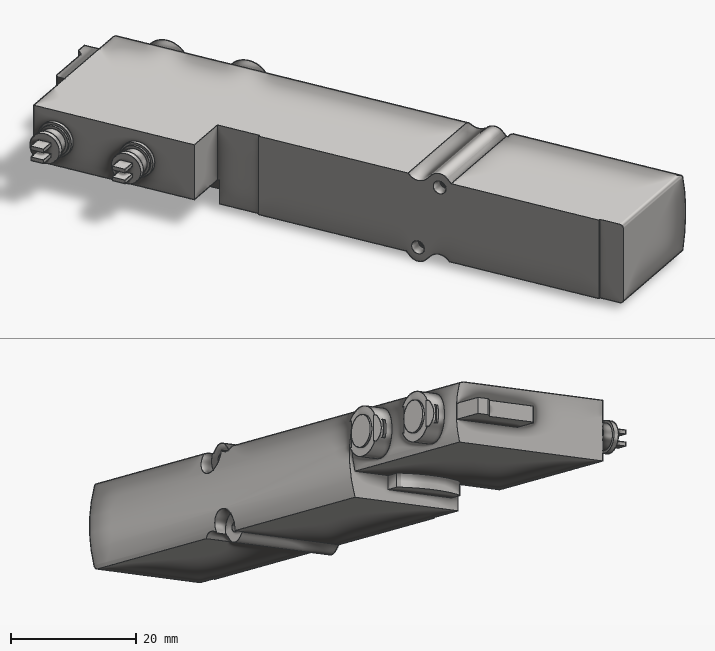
import cadquery as cq
import math


valve_left = 35.4
right_end = 108.5
height = 14.1
valve_front = 7.5
back_edge = 27.8
valve_back_bulge = 1.1
end_step = 0.3
front_plate_end = 42.6
end_cap_start = 104.3
end_rounding = 0.7
bevel_width = 0.8
bevel_drop = 0.2

upper_boss_x = 75.4
lower_boss_x = 71.5
boss_rise = 1.3
boss_radius = 2.0
groove_radius = 2.22
screw_hole_diameter = 2.3
screw_tip_diameter = 1.6
screw_tip_length = 2.2
screw_hole_inset = 1.2
screw_head_diameter = 5.3
screw_head_seat = 26.1

manifold_left = 6.0
manifold_bottom = 4.2
manifold_step_right = 35.0
manifold_back_bulge = 0.7
port_axis_z = (height + manifold_bottom) / 2
port_pitch = 14.8
first_connector_x = 10.1
first_button_x = 13.3

tab_thickness = 2.6
tab_root = 1.0
tab_front = 16.6
tab_back = 28.3
tab_nose_width = 2.0
tab_front_bevel = 0.4

latch_bottom = 2.0
latch_front = 9.1
latch_back = 21.4
latch_corner_x = 33.0
latch_face_x = 32.5
latch_nose_x = 31.4
latch_bevel = 0.7

connector_sections = [(6.1, -0.7), (5.3, -1.1), (4.5, -3.1), (5.3, -4.0)]
blade_width = 2.3
blade_thickness = 0.7
blade_offset = 1.0
blade_tip = -6.5

button_diameter = 8.1
button_shoulder = 31.4
button_cap_diameter = 5.3
button_top = 31.7
button_base = 26.0
scoop_width = 4.2
scoop_low = 30.5
scoop_reach = 1.3
grip_width = 2.9
grip_height = 0.5
grip_depth = 0.5
grip_y = 29.8


def box(x, y, z):
    """Box from three (low, high) ranges."""
    size = [high - low for low, high in (x, y, z)]
    return cq.Workplane("XY").box(*size, centered=False).translate((x[0], y[0], z[0]))


def cylinder_y(diameter, x, z, y_low, y_high):
    """Cylinder along Y."""
    plane = cq.Plane(origin=(x, y_high, z), xDir=(1, 0, 0), normal=(0, -1, 0))
    return cq.Workplane(plane).circle(diameter / 2).extrude(y_high - y_low)


def bowed_block(x_low, x_high, z_low, z_high, front, bulge):
    """Block along X whose back face is a shallow arc and whose top back edge has a flat bevel."""
    middle = (z_low + z_high) / 2
    return (
        cq.Workplane("YZ", origin=(x_low, 0, 0))
        .moveTo(front, z_low)
        .lineTo(back_edge, z_low)
        .threePointArc((back_edge + bulge, middle), (back_edge, z_high - bevel_drop))
        .lineTo(back_edge - bevel_width, z_high)
        .lineTo(front, z_high)
        .close()
        .extrude(x_high - x_low)
    )


def rounded_ridge(x, radius, reach, base_z, direction, y_range):
    """Prism along Y with 45 degree flanks and a round crest, standing off base_z up (+1) or down (-1)."""
    crest_half = radius * math.sqrt(0.5)
    flank = reach - (radius - crest_half)
    foot_half = crest_half + flank
    flank_z = base_z + direction * flank
    return (
        cq.Workplane("XZ", origin=(0, y_range[1], 0))
        .moveTo(x - foot_half, base_z)
        .lineTo(x - crest_half, flank_z)
        .threePointArc((x, base_z + direction * reach), (x + crest_half, flank_z))
        .lineTo(x + foot_half, base_z)
        .close()
        .extrude(y_range[1] - y_range[0])
    )


def make_valve():
    """Long bowed block with end steps and a rounded right end."""
    valve = bowed_block(valve_left, right_end, 0, height, valve_front, valve_back_bulge)
    valve = valve.faces(">X").edges("|Y").fillet(end_rounding)
    for x_range in ((valve_left, front_plate_end), (end_cap_start, right_end)):
        valve = valve.cut(box(x_range, (valve_front, valve_front + end_step), (0, height)))
    return valve


def add_screw_bosses(body):
    """A screw boss with a groove beside it on the top, and the same turned half round underneath."""
    spread = math.sqrt(2) - 1
    boss_pitch = upper_boss_x - lower_boss_x
    groove_depth = boss_pitch - boss_rise - (boss_radius + groove_radius) * spread

    boss_span = (valve_front, screw_head_seat)
    back_limit = back_edge + valve_back_bulge
    groove_span = (valve_front, back_limit)
    sides = ((upper_boss_x, lower_boss_x, height, 1), (lower_boss_x, upper_boss_x, 0, -1))
    for boss_x, groove_x, face_z, outward in sides:
        body = body.union(rounded_ridge(boss_x, boss_radius, boss_rise, face_z, outward, boss_span))
        body = body.cut(rounded_ridge(groove_x, groove_radius, groove_depth, face_z, -outward, groove_span))
        hole_z = face_z - outward * screw_hole_inset
        tip_end = valve_front + screw_tip_length
        body = body.cut(cylinder_y(screw_tip_diameter, boss_x, hole_z, tip_end, back_limit))
        body = body.cut(cylinder_y(screw_hole_diameter, boss_x, hole_z, valve_front, tip_end))
        body = body.cut(cylinder_y(screw_head_diameter, boss_x, hole_z, screw_head_seat, back_limit))
    return body


def make_manifold():
    """Bowed block, cut back at its right end to the valve's front face."""
    block = bowed_block(manifold_left, valve_left, manifold_bottom, height, 0, manifold_back_bulge)
    step = box((manifold_step_right, valve_left), (0, valve_front + end_step), (manifold_bottom, height))
    return block.cut(step)


def make_side_tab():
    """Flat tab with a hooked nose at its back end."""
    nose_front = tab_back - tab_nose_width
    return (
        cq.Workplane("XY", origin=(0, 0, port_axis_z - tab_thickness / 2))
        .moveTo(manifold_left, tab_front)
        .lineTo(tab_root + tab_front_bevel, tab_front)
        .lineTo(tab_root, tab_front + tab_front_bevel)
        .lineTo(tab_root, nose_front - tab_root)
        .lineTo(0, nose_front)
        .lineTo(0, tab_back)
        .lineTo(manifold_left, tab_back)
        .close()
        .extrude(tab_thickness)
    )


def make_latch():
    """Low block on the valve's left end with bevelled corners and a bowed face."""
    return (
        cq.Workplane("XY", origin=(0, 0, latch_bottom))
        .moveTo(valve_left, latch_front)
        .lineTo(latch_corner_x, latch_front)
        .lineTo(latch_face_x, latch_front + latch_bevel)
        .threePointArc(
            (latch_nose_x, (latch_front + latch_back) / 2),
            (latch_face_x, latch_back - latch_bevel),
        )
        .lineTo(latch_corner_x, latch_back)
        .lineTo(valve_left, latch_back)
        .close()
        .extrude(manifold_bottom - latch_bottom)
    )


def make_connector(x):
    """Stepped round connector with two flat blades."""
    connector = cq.Workplane("XY")
    section_start = 0
    for diameter, section_end in connector_sections:
        connector = connector.add(cylinder_y(diameter, x, port_axis_z, section_end, section_start))
        section_start = section_end
    for side in (-1, 1):
        blade_z = port_axis_z + side * blade_offset
        blade = box(
            (x - blade_width / 2, x + blade_width / 2),
            (blade_tip, section_start),
            (blade_z - blade_thickness / 2, blade_z + blade_thickness / 2),
        )
        connector = connector.add(blade)
    return connector.combine()


def make_button(x):
    """Round push button with a raised cap, and a scoop and a finger notch at its left and right."""
    radius = button_diameter / 2
    button = cylinder_y(button_diameter, x, port_axis_z, button_base, button_shoulder)
    button = button.union(cylinder_y(button_cap_diameter, x, port_axis_z, button_shoulder, button_top))
    for side in (-1, 1):
        rim = x + side * radius
        scoop = (
            cq.Workplane("XY", origin=(0, 0, port_axis_z - scoop_width / 2))
            .moveTo(rim, scoop_low)
            .lineTo(rim, button_top)
            .lineTo(rim - side * scoop_reach, button_top)
            .close()
            .extrude(scoop_width)
        )
        notch = cq.Workplane("XY").box(2 * grip_depth, grip_height, grip_width)
        button = button.cut(scoop).cut(notch.translate((rim, grip_y, port_axis_z)))
    return button


result = make_valve().union(make_manifold())
result = add_screw_bosses(result)
result = result.union(make_side_tab()).union(make_latch())
for offset in (0, port_pitch):
    result = result.union(make_connector(first_connector_x + offset))
    result = result.union(make_button(first_button_x + offset))